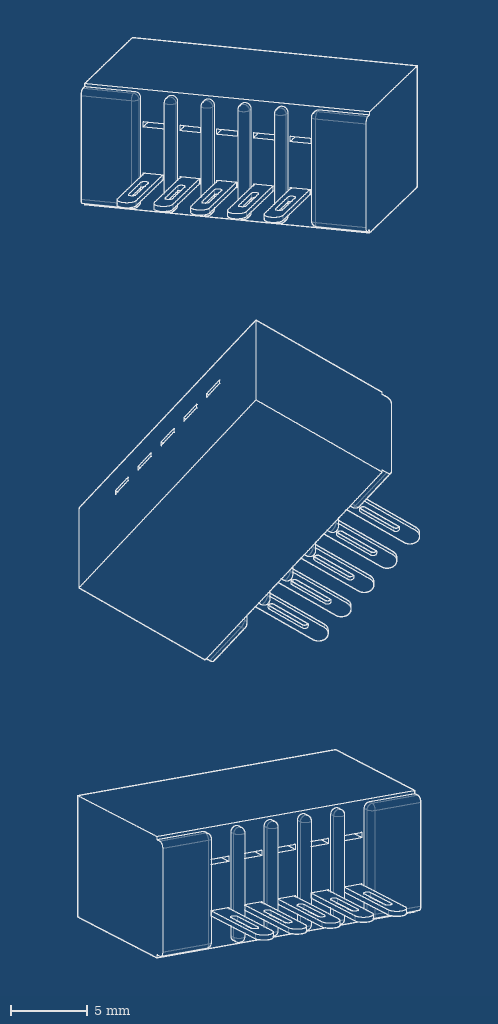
import cadquery as cq

HOUSING_WIDTH = 19.68
HOUSING_HEIGHT = 8.38
HOUSING_DEPTH = 10.3

RAISE = 0.77
RAISED_MARGIN = 0.22
EDGE_RADIUS = 0.4
END_BLOCK_WIDTH = 3.88
RIB_WIDTH = 2 * EDGE_RADIUS
RAISED_HEIGHT = HOUSING_HEIGHT - 2 * RAISED_MARGIN

CONTACT_COUNT = 5
PITCH = 2.54
ROW_OFFSET = 1.77
CONTACT_XS = [(i - (CONTACT_COUNT - 1) / 2) * PITCH for i in range(CONTACT_COUNT)]
RIB_XS = [x + PITCH / 2 for x in CONTACT_XS[:-1]]

SLOT_WIDTH = 1.44
SLOT_HEIGHT = 0.35
SOCKET_DEPTH = 3.94

PIN_WIDTH = 1.28
PIN_REACH = 6.4
EYE_WIDTH = 0.5
EYE_LENGTH = 3.17
EYE_TO_TIP = 1.54


def box_from_front(x, z, width, height, y_start, y_end):
    """Box centred on (x, z) that spans y_start to y_end."""
    return (
        cq.Workplane("XY")
        .box(width, y_end - y_start, height, centered=(True, False, True))
        .translate((x, y_start, z))
    )


def make_end_block(side):
    """Raised block at one end of the front face; side is -1 or 1."""
    center_x = side * (HOUSING_WIDTH - END_BLOCK_WIDTH) / 2
    block = box_from_front(center_x, 0, END_BLOCK_WIDTH, RAISED_HEIGHT, -RAISE, 0)
    inner_side, outer_side = ("<X", ">X") if side > 0 else (">X", "<X")
    block = block.faces(inner_side).edges("|Y").fillet(EDGE_RADIUS)
    return block.faces("<Y").edges(f"not {outer_side}").fillet(EDGE_RADIUS)


def make_rib(x):
    """Upright rib with a full-round nose and ball ends."""
    straight = RAISED_HEIGHT - RIB_WIDTH
    nose_y = EDGE_RADIUS - RAISE
    base = (
        cq.Workplane("XZ")
        .center(x, 0)
        .slot2D(RAISED_HEIGHT, RIB_WIDTH, 90)
        .extrude(-nose_y)
    )
    nose = (
        cq.Workplane("XY", origin=(x, nose_y, -straight / 2))
        .circle(EDGE_RADIUS)
        .extrude(straight)
    )
    rib = base.union(nose)
    for z in (-straight / 2, straight / 2):
        rib = rib.union(cq.Workplane("XY", origin=(x, nose_y, z)).sphere(EDGE_RADIUS))
    return rib


def make_housing():
    housing = box_from_front(0, 0, HOUSING_WIDTH, HOUSING_HEIGHT, 0, HOUSING_DEPTH)
    for side in (-1, 1):
        housing = housing.union(make_end_block(side))
    for x in RIB_XS:
        housing = housing.union(make_rib(x))
    for x in CONTACT_XS:
        housing = housing.cut(
            box_from_front(x, ROW_OFFSET, SLOT_WIDTH, SLOT_HEIGHT, 0, HOUSING_DEPTH)
        )
        housing = housing.cut(
            box_from_front(x, -ROW_OFFSET, SLOT_WIDTH, SLOT_HEIGHT, 0, SOCKET_DEPTH)
        )
    return housing


def make_pin(x):
    """Flat pin: wide root filling its socket, narrow round-tipped tail with an eye."""
    root = box_from_front(x, -ROW_OFFSET, SLOT_WIDTH, SLOT_HEIGHT, 0, SOCKET_DEPTH)
    tip_radius = PIN_WIDTH / 2
    tip_center_y = tip_radius - PIN_REACH
    bottom_z = -ROW_OFFSET - SLOT_HEIGHT / 2
    tail = (
        cq.Workplane("XY", origin=(x, 0, bottom_z))
        .moveTo(-tip_radius, 0)
        .lineTo(-tip_radius, tip_center_y)
        .threePointArc((0, -PIN_REACH), (tip_radius, tip_center_y))
        .lineTo(tip_radius, 0)
        .close()
        .extrude(SLOT_HEIGHT)
    )
    eye_center_y = EYE_TO_TIP + EYE_LENGTH / 2 - PIN_REACH
    eye = (
        cq.Workplane("XY", origin=(x, eye_center_y, bottom_z))
        .slot2D(EYE_LENGTH, EYE_WIDTH, 90)
        .extrude(SLOT_HEIGHT)
    )
    return root.union(tail).cut(eye)


housing = make_housing()
pins = [make_pin(x) for x in CONTACT_XS]

result = cq.Compound.makeCompound([housing.solids().val(), *[pin.solids().val() for pin in pins]])